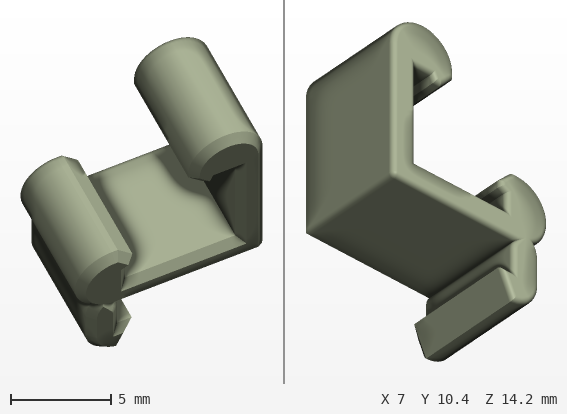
import cadquery as cq
import math

length = 7.0
span = 10.35
total_height = 14.19
wall = 1.5
head_radius = 2.05
corner_radius = 0.3
end_fillet = 0.3
end_chamfer = 0.43

head_center = span - head_radius
lip_top = 7.97
lip_tip = 7.17
lip_outer = 3.28
lip_inner = 2.82
lip_root = 2.64
pocket_end = 7.56

leg_inner = 8.0
leg_outer = 9.75
leg_width = leg_outer - leg_inner
leg_round_z = -0.55
barb_z = -2.1
barb_tip = 7.21
leg_bottom = span - total_height
foot_radius = barb_z - leg_bottom
foot_center = leg_outer - foot_radius
shoulder_apex_angle = 60
shoulder_break_angle = 150


def at(depth, height):
    """Profile point; depth runs from the back wall towards -Y."""
    return (-depth, height)


def arc_point(depth, height, radius, degrees):
    angle = math.radians(degrees)
    return at(depth + radius * math.cos(angle), height + radius * math.sin(angle))


def bracket():
    """L-shaped bracket, symmetric about its diagonal, with a round head on each arm."""
    upper_lip = [
        (2 * head_radius, lip_top),
        (lip_outer, lip_tip),
        (lip_inner, lip_tip),
        (lip_root, pocket_end),
        (wall, pocket_end),
    ]
    lower_lip = [(height, depth) for depth, height in reversed(upper_lip)]

    profile = cq.Workplane("YZ").moveTo(*at(0, 0)).lineTo(*at(0, head_center))
    profile = profile.threePointArc(at(head_radius, span), at(2 * head_radius, head_center))
    for point in upper_lip + [(wall, wall)] + lower_lip:
        profile = profile.lineTo(*at(*point))
    profile = profile.lineTo(*at(head_center, 2 * head_radius))
    profile = profile.threePointArc(at(span, head_radius), at(head_center, 0))
    body = profile.close().extrude(length)
    body = body.faces(">X").edges().chamfer(end_chamfer)
    outer_corner = cq.selectors.NearestToPointSelector((length / 2, 0, 0))
    body = body.edges(outer_corner).fillet(corner_radius)
    return body.faces("<X").edges().fillet(end_fillet)


def leg():
    """Leg with a pointed top buried in the floor, a barb and a rounded foot."""
    inner_radius = leg_width / 2
    inner_center = leg_inner + inner_radius
    body = (
        cq.Workplane("YZ")
        .moveTo(*at(leg_inner, leg_round_z))
        .threePointArc(
            arc_point(inner_center, leg_round_z, inner_radius, (180 + shoulder_break_angle) / 2),
            arc_point(inner_center, leg_round_z, inner_radius, shoulder_break_angle),
        )
        .lineTo(*arc_point(leg_inner, leg_round_z, leg_width, shoulder_apex_angle))
        .threePointArc(
            arc_point(leg_inner, leg_round_z, leg_width, shoulder_apex_angle / 2),
            at(leg_outer, leg_round_z),
        )
        .lineTo(*at(leg_outer, barb_z))
        .threePointArc(
            arc_point(foot_center, barb_z, foot_radius, -45),
            at(foot_center, leg_bottom),
        )
        .lineTo(*at(barb_tip, barb_z))
        .lineTo(*at(leg_inner, barb_z))
        .close()
        .extrude(length)
    )

    body = body.faces(">X").edges().chamfer(end_chamfer)
    return body.faces("<X").edges().fillet(end_fillet)


result = bracket().union(leg())